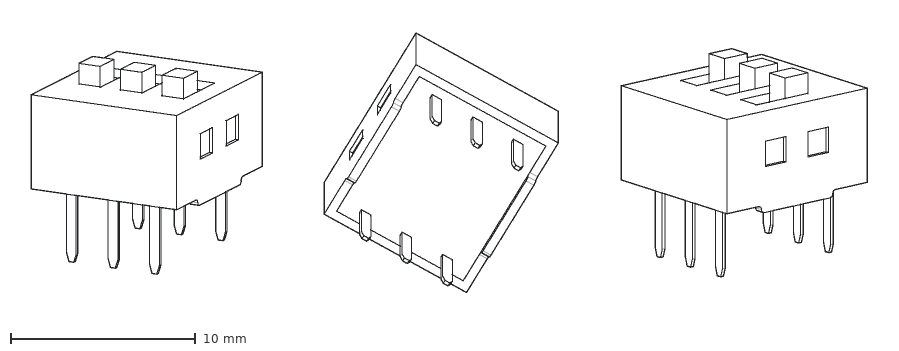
import cadquery as cq


OVERALL_Z = 10.55

COVER_X = 8.91
COVER_Y = 9.9
COVER_Z = 5.3
WALL = 0.5
ROOF = 0.5

FOOT_Y = 5.02
FOOT_Z = 0.4
FOOT_RADIUS = FOOT_Z / 2

WINDOW_SIDE = 1.42
WINDOW_DEPTH = 0.2
WINDOW_PITCH = 3.0
WINDOW_TOP_GAP = 1.7
WINDOW_CENTRE_Z = COVER_Z - WINDOW_TOP_GAP - WINDOW_SIDE / 2

WAYS = 3
SLOT_PITCH = 2.53
SLOT_X = 1.35
SLOT_Y = 3.6
SLIDER_X = 1.31
SLIDER_Y = 1.6
SLIDER_RISE = 1.15
SLIDER_PITCH = SLOT_PITCH + (SLOT_X - SLIDER_X) / 2

PIN_PITCH = 2.54
PIN_ROW_SPACING = 7.62
PIN_X = 0.6
PIN_Y = 0.2
PIN_LENGTH = OVERALL_Z - COVER_Z - SLIDER_RISE
PIN_TIP_X = 0.3
PIN_TIP_Z = 0.5

CAVITY_X = COVER_X - 2 * WALL
CAVITY_Y = COVER_Y - 2 * WALL
CAVITY_Z = COVER_Z - ROOF


def way_positions(pitch):
    """X positions of the switch ways, centred on X = 0."""
    return [(way - (WAYS - 1) / 2) * pitch for way in range(WAYS)]


def box_on(z, size_x, size_y, size_z):
    """Box centred on X = Y = 0 with its underside at height z."""
    return cq.Workplane("XY").workplane(offset=z).rect(size_x, size_y).extrude(size_z)


def make_foot():
    """Foot under one wall, with rounded lower edges and fillets flaring into the wall."""
    half = FOOT_Y / 2
    r = FOOT_RADIUS
    profile = (
        cq.Workplane("YZ")
        .moveTo(-half - r, 0)
        .radiusArc((-half, -r), r)
        .radiusArc((-half + r, -FOOT_Z), -r)
        .lineTo(half - r, -FOOT_Z)
        .radiusArc((half, -r), -r)
        .radiusArc((half + r, 0), r)
        .close()
    )
    return profile.extrude(WALL / 2, both=True)


def make_cover():
    cover = box_on(0, COVER_X, COVER_Y, COVER_Z)
    cover = cover.cut(box_on(0, CAVITY_X, CAVITY_Y, CAVITY_Z))

    slot = box_on(CAVITY_Z, SLOT_X, SLOT_Y, ROOF)
    for x in way_positions(SLOT_PITCH):
        cover = cover.cut(slot.translate((x, 0, 0)))

    foot = make_foot()
    window = cq.Workplane("XY").box(WINDOW_DEPTH, WINDOW_SIDE, WINDOW_SIDE)
    for side in (-1, 1):
        cover = cover.union(foot.translate((side * (COVER_X - WALL) / 2, 0, 0)))
        window_x = side * (COVER_X - WINDOW_DEPTH) / 2
        for end in (-1, 1):
            cover = cover.cut(window.translate((window_x, end * WINDOW_PITCH / 2, WINDOW_CENTRE_Z)))
    return cover


def make_pin():
    """Flat pin hanging from Z = 0, narrowed in X at its tip."""
    shoulder_z = PIN_TIP_Z - PIN_LENGTH
    outline = [
        (-PIN_X / 2, 0),
        (PIN_X / 2, 0),
        (PIN_X / 2, shoulder_z),
        (PIN_TIP_X / 2, -PIN_LENGTH),
        (-PIN_TIP_X / 2, -PIN_LENGTH),
        (-PIN_X / 2, shoulder_z),
    ]
    return cq.Workplane("XZ").polyline(outline).close().extrude(PIN_Y / 2, both=True)


def make_base():
    """Block that fills the cover, in one piece with the two rows of pins."""
    base = box_on(0, CAVITY_X, CAVITY_Y, CAVITY_Z)
    pin = make_pin()
    for x in way_positions(PIN_PITCH):
        for row in (-1, 1):
            base = base.union(pin.translate((x, row * PIN_ROW_SPACING / 2, 0)))
    return base


def make_slider(x):
    """Slider standing on the base, at the -Y end of its slot."""
    slider = box_on(CAVITY_Z, SLIDER_X, SLIDER_Y, ROOF + SLIDER_RISE)
    return slider.translate((x, (SLIDER_Y - SLOT_Y) / 2, 0))


cover = make_cover()
base = make_base()
sliders = [make_slider(x) for x in way_positions(SLIDER_PITCH)]

result = cq.Compound.makeCompound([cover.val(), base.val(), *[slider.val() for slider in sliders]])